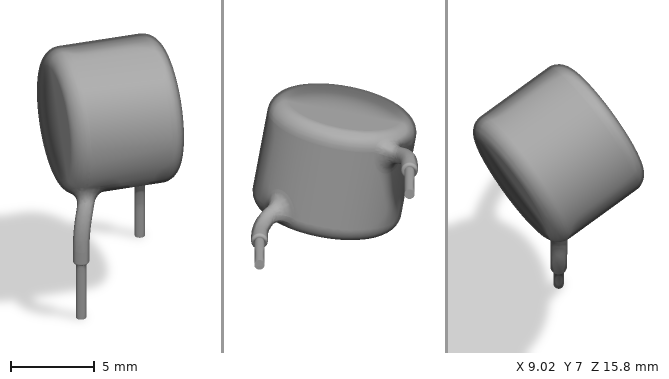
import cadquery as cq

disc_diameter = 9.0
disc_depth = 7.0
disc_edge_radius = 1.0
disc_top = disc_diameter / 2

leg_diameter = 1.0
leg_x = 4.01
leg_y = (disc_depth - leg_diameter) / 2
leg_bend_z = -6.53
leg_end_z = -7.5
leg_end_radius = 0.19
leg_root = (2.37, 2.05, -2.76)
leg_root_direction = (-1.0, -0.3, 0.8)
leg_blend_radius = 1.0
leg_root_zone_bottom = -4.11

pin_diameter = 0.62
overall_height = 15.8
pin_end_z = disc_top - overall_height

leg_sides = [(-1, 1), (1, -1)]


def make_disc():
    return (
        cq.Workplane("XZ", origin=(0, disc_depth / 2, 0))
        .circle(disc_diameter / 2)
        .extrude(disc_depth)
        .edges("%CIRCLE")
        .fillet(disc_edge_radius)
    )


def make_leg(x_side, y_side):
    """Straight coated end with a rounded rim, and a bend running into the disc."""
    x, y = x_side * leg_x, y_side * leg_y
    straight_end = (
        cq.Workplane("XY", origin=(x, y, leg_end_z))
        .circle(leg_diameter / 2)
        .extrude(leg_bend_z - leg_end_z)
        .faces("<Z")
        .edges()
        .fillet(leg_end_radius)
    )

    def to_side(vector):
        return cq.Vector(x_side * vector[0], y_side * vector[1], vector[2])

    centre_line = cq.Edge.makeSpline(
        [cq.Vector(x, y, leg_bend_z), to_side(leg_root)],
        tangents=[cq.Vector(0, 0, 1), to_side(leg_root_direction)],
    )
    bend = (
        cq.Workplane("XY", origin=(x, y, leg_bend_z))
        .circle(leg_diameter / 2)
        .sweep(cq.Workplane(cq.Wire.assembleEdges([centre_line])))
    )
    return straight_end.union(bend)


def make_housing():
    """Disc and both legs as one body, with a fillet around each leg root."""
    housing = make_disc()
    for x_side, y_side in leg_sides:
        housing = housing.union(make_leg(x_side, y_side))
    root_zone = cq.selectors.BoxSelector(
        (-disc_diameter, -disc_depth, leg_root_zone_bottom),
        (disc_diameter, disc_depth, 0),
    )
    return housing.edges("%BSPLINE").edges(root_zone).fillet(leg_blend_radius)


def make_pin(x_side, y_side):
    return (
        cq.Workplane("XY", origin=(x_side * leg_x, y_side * leg_y, pin_end_z))
        .circle(pin_diameter / 2)
        .extrude(leg_end_z - pin_end_z)
    )


housing = make_housing()
pins = [make_pin(x_side, y_side) for x_side, y_side in leg_sides]
result = cq.Compound.makeCompound([housing.val(), *[pin.val() for pin in pins]])